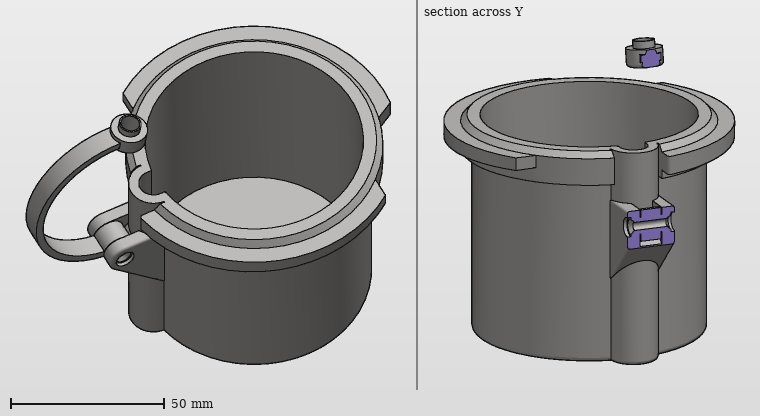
import cadquery as cq
import math

overcut = 1.3

body_radius = 38.3
bore_radius = 35.6
cup_height = 72.7
floor_thickness = body_radius - bore_radius
bottom_round = 1.3
dimple_radius = 2.0
dimple_depth = 0.9

flange_radius = 42.0
flange_bottom = 61.5
rim_chamfer = 2.1
flange_top = cup_height - rim_chamfer

lug_span = 95.0
lug_radius = lug_span / 2
lug_root_radius = (bore_radius + body_radius) / 2
lug_end_offset = 28.5
lug_mid_angle = 150.0
lug_half_spread = 30.0
lug_ramp_low = 63.9
lug_ramp_pitch = 6.0
lug_corner_round = 1.0

channel_radius = 4.8
channel_wall_radius = 8.2
channel_y = -37.0

bracket_half_width = 8.4
pivot_y = -51.8
pivot_z = 50.0
barrel_radius = 5.5
bracket_round = 0.9
bracket_slope = 45.0
fork_half_gap = 3.8
fork_floor_drop = 4.9
pin_radius = 3.0
pin_bore_radius = 1.3
pin_bore_flare = 1.3
pin_recess_radius = 3.2
pin_recess_depth = 1.3

strap_half_width = 3.6
strap_thickness = 2.6
strap_setback = 0.45
strap_radius = 28.5
strap_y = pivot_y - strap_setback
strap_z = pivot_z + strap_radius

plug_y = -46.0
plug_top_z = 109.0
plug_tilt = 9.0
plug_radius = 6.1
plug_height = 6.1
plug_round = 1.2
plug_neck_radius = 3.6
plug_neck_height = 2.5
plug_bore_radius = 3.1


def polar(radius, angle):
    turn = math.radians(angle)
    return (radius * math.cos(turn), radius * math.sin(turn))


def cylinder(radius, bottom, top, y=0):
    return cq.Workplane("XY", origin=(0, y, bottom)).circle(radius).extrude(top - bottom)


def cross_cylinder(radius, half_width):
    """Cylinder along X, centred on the hinge pivot."""
    plane = cq.Workplane("YZ", origin=(0, pivot_y, pivot_z))
    return plane.circle(radius).extrude(half_width, both=True)


def make_outer_wall():
    """Solid cup and channel wall, rounded along the bottom edge."""
    wall = cylinder(body_radius, 0, cup_height)
    wall = wall.union(cylinder(channel_wall_radius, 0, cup_height, channel_y))
    return wall.faces("<Z").edges().fillet(bottom_round)


def make_lug():
    """Bayonet lug with a helical underside."""
    def end_point(radius, side):
        spread = lug_half_spread + math.degrees(math.asin(lug_end_offset / radius))
        return polar(radius, lug_mid_angle + side * spread)

    height = flange_top - flange_bottom
    lug = (
        cq.Workplane("XY", origin=(0, 0, flange_bottom))
        .moveTo(*end_point(lug_root_radius, -1))
        .lineTo(*end_point(lug_radius, -1))
        .threePointArc(polar(lug_radius, lug_mid_angle), end_point(lug_radius, 1))
        .lineTo(*end_point(lug_root_radius, 1))
        .threePointArc(polar(lug_root_radius, lug_mid_angle), end_point(lug_root_radius, -1))
        .close()
        .extrude(height)
    )

    ramp_half_angle = lug_half_spread + math.degrees(math.asin(lug_end_offset / lug_root_radius))
    ramp_rise = lug_ramp_pitch * 2 * ramp_half_angle / 360
    path_radius = (lug_root_radius + lug_radius) / 2
    cutter_width = lug_radius - lug_root_radius + 2 * overcut
    path = cq.Wire.makeHelix(lug_ramp_pitch, ramp_rise, path_radius)
    cutter = (
        cq.Workplane("XZ")
        .center(path_radius, -height / 2)
        .rect(cutter_width, height)
        .sweep(cq.Workplane(path), isFrenet=True)
        .rotate((0, 0, 0), (0, 0, 1), lug_mid_angle - ramp_half_angle)
        .translate((0, 0, lug_ramp_low))
    )
    return lug.cut(cutter)


def make_front_lug(lug):
    """The opposite lug, cut short beside the bracket and rounded at that corner."""
    front_lug = lug.rotate((0, 0, 0), (0, 0, 1), 180)
    reach = 2 * lug_radius
    blocked = cq.Workplane("XY", origin=(bracket_half_width - reach / 2, -reach / 2, 0)).rect(
        reach, reach
    ).extrude(cup_height)
    front_lug = front_lug.cut(blocked)
    corner_y = -math.sqrt(lug_radius**2 - bracket_half_width**2)
    corner = cq.selectors.NearestToPointSelector((bracket_half_width, corner_y, flange_top))
    return front_lug.edges("|Z").edges(corner).fillet(lug_corner_round)


def make_rim():
    """Chamfered flange with two lugs, open where the channel wall passes."""
    flange = cylinder(flange_radius, flange_bottom, cup_height).faces(">Z").chamfer(rim_chamfer)
    notch = cq.Workplane("XY", origin=(0, channel_y - flange_radius / 2, flange_bottom)).rect(
        2 * bracket_half_width, flange_radius
    ).extrude(cup_height)
    lug = make_lug()
    return flange.cut(notch).union(lug).union(make_front_lug(lug))


def make_bracket():
    """Forked bracket carrying the hinge pin."""
    slope = math.radians(bracket_slope)
    root_y = channel_y
    nose = (pivot_y - barrel_radius, pivot_z)
    tangent = (pivot_y - barrel_radius * math.sin(slope), pivot_z - barrel_radius * math.cos(slope))
    root_bottom = tangent[1] - (root_y - tangent[0]) * math.tan(slope)
    top = pivot_z + barrel_radius
    bracket = (
        cq.Workplane("YZ")
        .moveTo(root_y, top)
        .lineTo(pivot_y, top)
        .threePointArc(nose, tangent)
        .lineTo(root_y, root_bottom)
        .close()
        .extrude(bracket_half_width, both=True)
    )
    outer_faces = bracket.faces("<X or >X")
    bracket = bracket.newObject(outer_faces.edges("not(>Y)").vals()).fillet(bracket_round)
    fork_size = 8 * barrel_radius
    fork_gap = (
        cq.Workplane("XY")
        .box(2 * fork_half_gap, fork_size, fork_size, centered=(True, True, False))
        .translate((0, 0, -fork_floor_drop))
        .rotate((0, 0, 0), (1, 0, 0), 90 - bracket_slope)
        .translate((0, pivot_y, pivot_z))
    )
    return bracket.cut(fork_gap)


def make_strap():
    """Curved strap from the hinge hub to the plug."""
    plug_angle = 90 + math.degrees(math.asin((strap_y - plug_y) / strap_radius))

    def arc_point(offset, angle):
        y, z = polar(strap_radius + offset, angle)
        return (strap_y + y, strap_z + z)

    half = strap_thickness / 2
    hub_angle = 270
    strap = (
        cq.Workplane("YZ")
        .moveTo(*arc_point(half, hub_angle))
        .threePointArc(arc_point(half, 180), arc_point(half, plug_angle))
        .lineTo(*arc_point(-half, plug_angle))
        .threePointArc(arc_point(-half, 180), arc_point(-half, hub_angle))
        .close()
        .extrude(strap_half_width, both=True)
    )
    return strap.union(cross_cylinder(barrel_radius, strap_half_width))


def place_on_strap(shape):
    """Move a shape built on Z = 0 to the tilted top face of the plug."""
    return shape.rotate((0, 0, 0), (1, 0, 0), -plug_tilt).translate((0, plug_y, plug_top_z))


def make_plug():
    plug = cylinder(plug_radius, -plug_height, 0).faces("<Z").edges().fillet(plug_round)
    return place_on_strap(plug.union(cylinder(plug_neck_radius, 0, plug_neck_height)))


def make_plug_bore():
    return place_on_strap(cylinder(plug_bore_radius, -plug_height - overcut, plug_neck_height + overcut))


def make_cavity():
    """Bore and side channel down to the floor, with a dimple in the floor."""
    cavity = cylinder(bore_radius, floor_thickness, cup_height)
    channel = cylinder(channel_radius, floor_thickness, cup_height, channel_y)
    mouth = cq.Workplane("XY", origin=(0, channel_y / 2, floor_thickness)).rect(
        2 * channel_radius, -channel_y
    ).extrude(cup_height - floor_thickness)
    dimple = cylinder(dimple_radius, floor_thickness - dimple_depth, floor_thickness)
    return cavity.union(channel).union(mouth).union(dimple)


def make_pin_bore():
    """Bore through the pin with a flared, recessed mouth at each end."""
    recess_floor = bracket_half_width - pin_recess_depth
    half_section = [
        (0, 0),
        (0, pin_bore_radius),
        (recess_floor - pin_bore_flare, pin_bore_radius),
        (recess_floor, pin_bore_radius + pin_bore_flare),
        (recess_floor, pin_recess_radius),
        (bracket_half_width, pin_recess_radius),
        (bracket_half_width, 0),
    ]
    half = cq.Workplane("XY").polyline(half_section).close().revolve(360, (0, 0, 0), (1, 0, 0))
    bore = half.union(half.mirror("YZ"))
    return bore.translate((0, pivot_y, pivot_z))


cup = make_outer_wall().union(make_rim()).union(make_bracket()).cut(make_cavity())
strap = make_strap().union(make_plug()).cut(make_plug_bore())
pin = cross_cylinder(pin_radius, bracket_half_width - pin_recess_depth)
result = cup.union(strap).union(pin).cut(make_pin_bore())